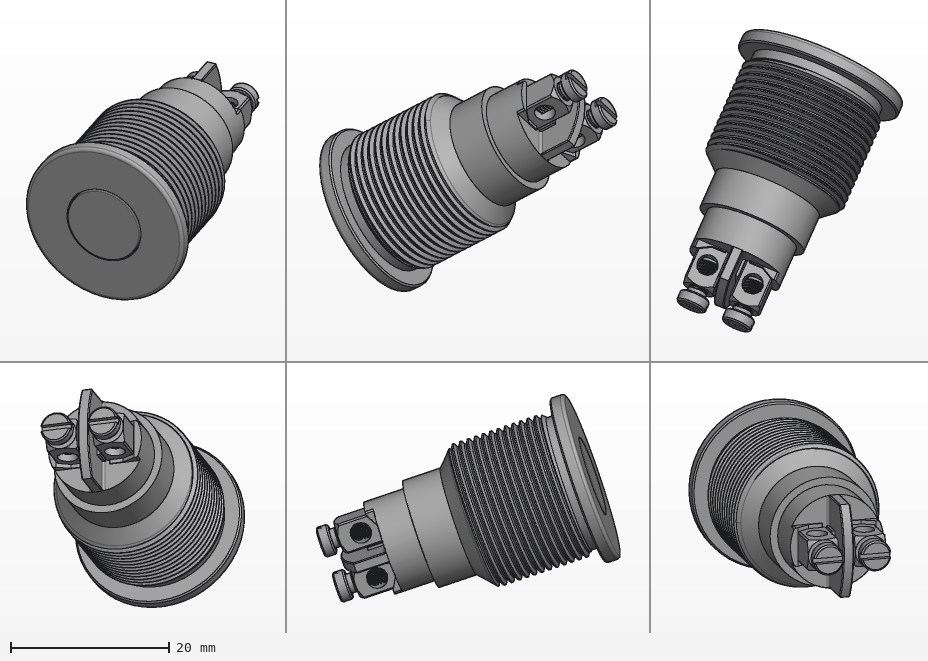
import cadquery as cq
import math


button_radius = 5.0
button_lift = 0.1
button_edge_round = 0.07
button_seat_radius = 5.15
button_seat_depth = 1.0
flange_radius = 11.0
flange_front = button_lift
flange_back = 2.0
flange_front_round = 0.45
flange_back_chamfer = 0.2

neck_radius = 8.85
thread_root_radius = 8.98
thread_crest_radius = 9.5
thread_base_width = 0.78
thread_crest_width = 0.18
thread_start = 1.98
thread_turns = 15
thread_length = 15.0
thread_pitch = thread_length / thread_turns
barrel_start = 3.2
barrel_end = 16.25

rear_radius = 7.15
rear_start = 18.0
rear_end = 23.0
base_radius = 6.15
base_end = 27.45

wall_thickness = 1.4
wall_side_end = 31.85
wall_peak = 33.55
wall_edge_chamfer = 0.15
wall_foot_round = 0.32

post_offset = 3.1
post_width = 4.03
post_end = 32.9
post_edge_chamfer = 0.2
post_crown_slope = 0.8
wire_hole_diameter = 2.65
wire_hole_height = 29.98
ear_width = 5.1
ear_end = 28.55
ear_edge_chamfer = 0.18
gusset_outer = 5.15
gusset_inner = 3.45
plinth_inner = 1.65
plinth_end = 27.65
pad_thickness = 0.35
pad_width = 4.25
pad_end = 29.87

screw_crest_radius = 1.27
screw_root_radius = 1.05
screw_pitch = 0.42
screw_thread_base_width = 0.3
screw_thread_crest_width = 0.07
screw_tip = 28.85
collar_start = 33.15
head_radius = 1.98
head_start = 33.8
head_end = 35.35
head_edge_chamfer = 0.2
slot_width = 0.75
slot_depth = 0.67

thread_sink = 0.05


def turned(points):
    """Solid of revolution about the Y axis from (radius, height) points."""
    return cq.Workplane("XY").polyline(points).close().revolve(360, (0, 0), (0, 1))


def cylinder(radius, start, end):
    return turned([(0, start), (radius, start), (radius, end), (0, end)])


def block(x_range, y_range, width):
    """Box between two X and two Y positions, centred on Z = 0."""
    (x0, x1), (y0, y1) = x_range, y_range
    corner = cq.Vector(min(x0, x1), y0, -width / 2)
    return cq.Workplane(cq.Solid.makeBox(abs(x1 - x0), y1 - y0, width, corner))


def thread_ridge(root, crest, pitch, base_width, crest_width, start, turns):
    """Right-handed helical ridge around the Y axis."""
    inner = root - thread_sink
    flank_run = (base_width - crest_width) / 2 / (crest - root)
    inner_width = base_width + 2 * thread_sink * flank_run
    path = cq.Workplane(cq.Wire.makeHelix(pitch, pitch * turns, inner))
    ridge = (
        cq.Workplane("XZ")
        .polyline([
            (inner, -inner_width / 2),
            (crest, -crest_width / 2),
            (crest, crest_width / 2),
            (inner, inner_width / 2),
        ])
        .close()
        .sweep(path, isFrenet=True)
    )
    return ridge.rotate((0, 0, 0), (1, 0, 0), -90).translate((0, start, 0))


def make_shell():
    """Flange, neck, plain barrel and the stepped rear, without the thread."""
    flange = cylinder(flange_radius, flange_front, flange_back)
    flange = flange.faces("<Y").edges().fillet(flange_front_round)
    flange = flange.faces(">Y").edges().chamfer(flange_back_chamfer)
    barrel = turned([
        (0, flange_front + button_seat_depth),
        (neck_radius, flange_front + button_seat_depth),
        (neck_radius, barrel_start),
        (thread_root_radius, barrel_start + thread_root_radius - neck_radius),
        (thread_root_radius, barrel_end),
        (rear_radius, rear_start),
        (rear_radius, rear_end),
        (base_radius, rear_end),
        (base_radius, base_end),
        (0, base_end),
    ])
    seat = cylinder(button_seat_radius, flange_front, flange_front + button_seat_depth)
    return flange.union(barrel).cut(seat)


def make_barrel_thread():
    """Barrel thread, trimmed by a 45 degree lead and by the rear cone."""
    ridge = thread_ridge(
        thread_root_radius, thread_crest_radius, thread_pitch,
        thread_base_width, thread_crest_width, thread_start, thread_turns,
    )
    outer = thread_crest_radius + thread_sink
    inner = thread_root_radius - 2 * thread_sink
    cone_slope = (rear_start - barrel_end) / (thread_root_radius - rear_radius)
    envelope = turned([
        (inner, barrel_start + inner - neck_radius),
        (outer, barrel_start + outer - neck_radius),
        (outer, barrel_end - cone_slope * (outer - thread_root_radius)),
        (inner, barrel_end + cone_slope * (thread_root_radius - inner)),
    ])
    return ridge.intersect(envelope)


def make_wall():
    """Arched dividing wall with rounded feet, kept inside the base radius."""
    side = wall_thickness / 2
    half_length = math.sqrt(base_radius**2 - side**2)
    wall = (
        cq.Workplane("YZ")
        .moveTo(base_end, -half_length)
        .lineTo(wall_side_end, -half_length)
        .threePointArc((wall_peak, 0), (wall_side_end, half_length))
        .lineTo(base_end, half_length)
        .close()
        .extrude(side, both=True)
    )
    wall = wall.faces("<X or >X").edges("not <Y").chamfer(wall_edge_chamfer)
    for sign in (-1, 1):
        foot = (
            cq.Workplane("XY")
            .moveTo(sign * side, base_end)
            .lineTo(sign * (side + wall_foot_round), base_end)
            .radiusArc((sign * side, base_end + wall_foot_round), sign * wall_foot_round)
            .close()
            .extrude(base_radius, both=True)
        )
        wall = wall.union(foot)
    return wall.intersect(cylinder(base_radius, base_end, wall_peak))


def make_post(sign):
    """Square terminal post with a conical crown and a cross hole for the wire."""
    half = post_width / 2
    post = block((-half, half), (base_end, post_end), post_width)
    post = post.edges("|Y").chamfer(post_edge_chamfer)
    corner_radius = half * math.sqrt(2)
    crown_fall = (corner_radius - half) * post_crown_slope
    crown = turned([
        (0, base_end),
        (corner_radius, base_end),
        (corner_radius, post_end - crown_fall),
        (half, post_end),
        (0, post_end),
    ])
    wire_hole = cq.Workplane("XY").center(0, wire_hole_height).circle(wire_hole_diameter / 2)
    post = post.intersect(crown).cut(wire_hole.extrude(post_width, both=True))
    return post.translate((sign * post_offset, 0, 0))


def make_supports(sign):
    """Outer ear with its sloping gusset and plinth, and the pad between post and wall."""
    ear = (
        cq.Workplane("XY")
        .polyline([
            (sign * base_radius, base_end),
            (sign * plinth_inner, base_end),
            (sign * plinth_inner, plinth_end),
            (sign * gusset_inner, plinth_end),
            (sign * gusset_outer, ear_end),
            (sign * base_radius, ear_end),
        ])
        .close()
        .extrude(ear_width / 2, both=True)
        .intersect(cylinder(base_radius, base_end, ear_end))
    )
    outermost = ">X" if sign > 0 else "<X"
    ear = ear.edges("|Y").edges("<Z or >Z").edges(outermost).chamfer(ear_edge_chamfer)
    wall_side = wall_thickness / 2
    pad_side = wall_side + pad_thickness
    pad = block((sign * wall_side, sign * pad_side), (base_end, pad_end), pad_width)
    return ear.union(pad)


def make_housing():
    housing = make_shell().union(make_barrel_thread()).union(make_wall())
    for sign in (-1, 1):
        screw_bore = cylinder(screw_crest_radius, screw_tip, post_end)
        housing = housing.union(make_post(sign)).union(make_supports(sign))
        housing = housing.cut(screw_bore.translate((sign * post_offset, 0, 0)))
    return housing


def make_button():
    button = cylinder(button_radius, 0, flange_front + button_seat_depth)
    return button.faces("<Y").edges().fillet(button_edge_round)


def make_screw(sign):
    """Slotted screw whose thread runs from the tip to a plain collar under the head."""
    shank = cylinder(screw_root_radius, screw_tip, head_start)
    collar = cylinder(screw_crest_radius, collar_start, head_start)
    head = cylinder(head_radius, head_start, head_end)
    head = head.faces("<Y or >Y").edges().chamfer(head_edge_chamfer)
    slot = block((-head_radius, head_radius), (head_end - slot_depth, head_end), slot_width)
    start = screw_tip + screw_thread_base_width / 2 + thread_sink
    turns = (collar_start - start) / screw_pitch
    ridge = thread_ridge(
        screw_root_radius, screw_crest_radius, screw_pitch,
        screw_thread_base_width, screw_thread_crest_width, start, turns,
    )
    screw = shank.union(ridge).union(collar).union(head.cut(slot))
    return screw.translate((sign * post_offset, 0, 0))


housing = make_housing()
button = make_button()
screws = [make_screw(sign) for sign in (-1, 1)]

result = cq.Compound.makeCompound([
    housing.solids().val(),
    button.solids().val(),
    *[screw.solids().val() for screw in screws],
])